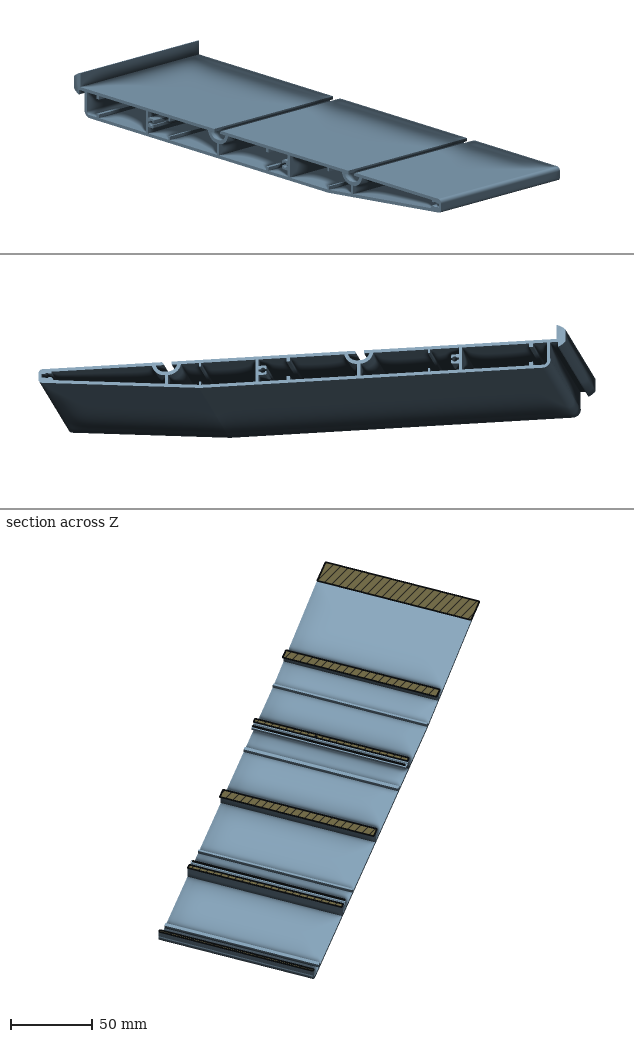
import cadquery as cq
import math

length = 329.3
depth = 100.0
height = 27.0
skin = 2.0

deck_top = 18.0
deck_underside = deck_top - skin
wall_face_x = 9.5
heel_x = 9.2
heel_ledge_low = 5.3
heel_ledge_high = 6.0
heel_radius = 5.0
heel_inner_radius = 2.0
ramp_start_x = 228.2
ramp_angle = 5.4
ramp_slope = math.tan(math.radians(ramp_angle))

nose_corner_radius = 2.3
nose_edge_radius = 2.5
nose_block_x = 319.8
nose_block_lean = 1.3
nose_bore_x = 324.0
nose_bore_z = 13.8
nose_bore_radius = 1.5
nose_slot_height = 2.3
nose_slot_end_x = length - skin

hook_width = 5.5
hook_face_low = 16.0
hook_face_high = 24.0
hook_lip_width = 0.5
hook_lower_width = 4.5
hook_bottom = 13.2
hook_bulge = 0.3

wall_xs = (65.5, 192.5)
boss_sides = (1, -1)
channel_xs = (129.0, 249.3)
channel_gap = 5.3
channel_gap_shift = -0.5
channel_lip_radius = 1.3
channel_centre_z = 17.8
channel_radius = 6.0
channel_wall = 2.3
channel_floor_width = 2.0

boss_reach = 6.0
boss_height = 6.0
boss_chamfer = 0.5
boss_slot = 1.3
boss_bore_radius = 1.5
boss_bore_offset = 3.5
boss_z = deck_top / 2

ribs = ((21.5, 2.3), (85.3, 1.3), (173.2, 2.3), (228.2, 1.3))
rib_height = 2.3


def section():
    """Profile plane in X and Z on the -Y end; extruding by -depth fills the part toward +Y."""
    return cq.Workplane(cq.Plane(origin=(0, -depth / 2, 0), xDir=(1, 0, 0), normal=(0, -1, 0)))


def prism(points):
    return section().polyline(points).close().extrude(-depth)


def bar(x_min, x_max, z_min, z_max):
    return prism([(x_min, z_min), (x_max, z_min), (x_max, z_max), (x_min, z_max)])


def rod(x, z, radius):
    return section().center(x, z).circle(radius).extrude(-depth)


def edge_at(x, z):
    """Selector for the long edge that passes through a profile point."""
    return cq.selectors.NearestToPointSelector((x, 0, z))


def ramp_z(x):
    return (x - ramp_start_x) * ramp_slope


def envelope():
    body = prism([
        (heel_x, 0),
        (ramp_start_x, 0),
        (length, ramp_z(length)),
        (length, deck_top),
        (wall_face_x, deck_top),
        (wall_face_x, heel_ledge_high),
        (heel_x, heel_ledge_low),
    ])
    body = body.edges(edge_at(heel_x, 0)).fillet(heel_radius)
    body = body.edges(edge_at(length, ramp_z(length))).fillet(nose_corner_radius)
    return body.edges(edge_at(length, deck_top)).fillet(nose_edge_radius)


def cavity():
    rise = skin / math.cos(math.radians(ramp_angle))
    inner_bend_x = ramp_start_x - skin * math.tan(math.radians(ramp_angle / 2))
    heel_inside = wall_face_x + skin
    hollow = prism([
        (heel_inside, skin),
        (inner_bend_x, skin),
        (nose_block_x, ramp_z(nose_block_x) + rise),
        (nose_block_x + nose_block_lean, nose_bore_z - nose_slot_height / 2),
        (nose_block_x + nose_block_lean, deck_underside),
        (heel_inside, deck_underside),
    ])
    return hollow.edges(edge_at(heel_inside, skin)).fillet(heel_inner_radius)


def nose_slot():
    half = nose_slot_height / 2
    slot = bar(nose_block_x, nose_slot_end_x, nose_bore_z - half, nose_bore_z + half)
    return slot.union(rod(nose_bore_x, nose_bore_z, nose_bore_radius))


def hook():
    """Solid hook with domed ends, joined to the deck by a short strip."""
    upper_tip_x = hook_width - hook_lip_width
    lower_tip_x = hook_lower_width - hook_lip_width
    upper_crown = (upper_tip_x / 2, (hook_face_high + height) / 2 + hook_bulge)
    lower_crown = (lower_tip_x / 2, (hook_face_low + hook_bottom) / 2 - hook_bulge)
    profile = (
        section()
        .moveTo(0, hook_face_low)
        .threePointArc(lower_crown, (lower_tip_x, hook_bottom))
        .lineTo(hook_lower_width, hook_bottom)
        .lineTo(hook_lower_width, deck_underside)
        .lineTo(wall_face_x + skin, deck_underside)
        .lineTo(wall_face_x + skin, deck_top)
        .lineTo(hook_width, deck_top)
        .lineTo(hook_width, height)
        .lineTo(upper_tip_x, height)
        .threePointArc(upper_crown, (0, hook_face_high))
        .close()
    )
    return profile.extrude(-depth)


def web(x, z_top):
    return bar(x - skin / 2, x + skin / 2, 0, z_top)


def rib_pair(x, width):
    x_min = x - width / 2
    x_max = x + width / 2
    upper = bar(x_min, x_max, deck_underside - rib_height, deck_top)
    return upper.union(bar(x_min, x_max, 0, skin + rib_height))


def screw_boss(x, side):
    """Slotted, chamfered boss reaching from a wall toward the given side."""
    half = boss_height / 2
    tip = x + side * boss_reach
    shoulder = tip - side * boss_chamfer
    boss = prism([
        (x, boss_z - half),
        (shoulder, boss_z - half),
        (tip, boss_z - half + boss_chamfer),
        (tip, boss_z + half - boss_chamfer),
        (shoulder, boss_z + half),
        (x, boss_z + half),
    ])
    root = x + side * skin / 2
    slot = bar(min(root, tip), max(root, tip), boss_z - boss_slot / 2, boss_z + boss_slot / 2)
    bore = rod(x + side * boss_bore_offset, boss_z, boss_bore_radius)
    return boss.cut(slot).cut(bore.cut(web(x, deck_top)))


def trough(x, radius):
    """Round-cornered trough, filled up to the deck's underside."""
    slot = (
        section()
        .center(x, channel_centre_z)
        .slot2D(channel_floor_width + 2 * radius, 2 * radius)
        .extrude(-depth)
    )
    return slot.intersect(bar(0, length, 0, deck_underside))


def channel_opening(x):
    """Slot through the deck, flared by the rounded lip on its +X side."""
    left = x + channel_gap_shift - channel_gap / 2
    right = left + channel_gap
    bend = channel_lip_radius * (1 - math.sqrt(0.5))
    return (
        section()
        .moveTo(left, deck_underside)
        .lineTo(right, deck_underside)
        .lineTo(right, deck_top - channel_lip_radius)
        .threePointArc((right + bend, deck_top - bend), (right + channel_lip_radius, deck_top))
        .lineTo(left, deck_top)
        .close()
        .extrude(-depth)
    )


outer = envelope()
body = outer.cut(cavity()).cut(nose_slot())

for wall_x, boss_side in zip(wall_xs, boss_sides):
    body = body.union(web(wall_x, deck_top)).union(screw_boss(wall_x, boss_side))

for rib_x, rib_width in ribs:
    body = body.union(rib_pair(rib_x, rib_width))

for channel_x in channel_xs:
    stem = web(channel_x, channel_centre_z - channel_radius).intersect(outer)
    body = body.union(stem).union(trough(channel_x, channel_radius + channel_wall))
    body = body.cut(trough(channel_x, channel_radius)).cut(channel_opening(channel_x))

result = body.union(hook())